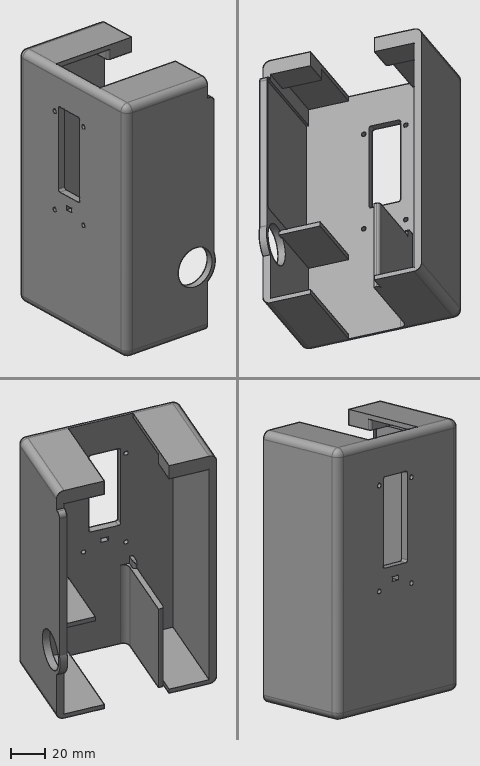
import cadquery as cq

WIDTH = 101.5
HEIGHT = 165.1
BODY_DEPTH = 61.5
TOTAL_DEPTH = 67.4
EDGE_RADIUS = 4.8

WALL = 4.8
END_WALL = 3.0

RIGHT_INSIDE = WIDTH - WALL

NOTCH_WIDTH = 41.0
NOTCH_LEFT = 30.2
NOTCH_RIGHT = NOTCH_LEFT + NOTCH_WIDTH

RIM_DEPTH = 18.0
RIM_HEIGHT = 9.5
RIM_RADIUS = 1.7

TAB_BACK = 66.4
TAB_TOP = 152.4
TAB_RADIUS = 3.1

OPENING_DIAMETER = 25.5
OPENING_Z = 44.5
BULGE_RADIUS = 15.2
OPENING_Y = TOTAL_DEPTH - BULGE_RADIUS

RECESS_BORDER = 1.2
RECESS_BACK = TAB_BACK - RECESS_BORDER
RECESS_TOP = TAB_TOP - RECESS_BORDER
RECESS_BOTTOM = 62.9
RECESS_DEPTH = 1.5
RECESS_RADIUS = TAB_RADIUS - RECESS_BORDER

DISPLAY_X = 48.0
WINDOW_WIDTH = 20.1
WINDOW_HEIGHT = 55.6
WINDOW_Z = 114.0
WINDOW_RADIUS = 1.5
SCREW_DIAMETER = 2.8
SCREW_SPACING_X = 26.9
SCREW_SPACING_Z = 64.4
SCREW_Z = 105.0
SLOT_WIDTH = 4.8
SLOT_HEIGHT = 2.8
SLOT_Z = 78.3

SHELF_TOP = 57.0
SHELF_BACK = 47.2
SHELF_THICKNESS = 3.0

RIB_RIGHT = 33.8
RIB_BACK = 54.0
RIB_RADIUS = 2.0
RIB_FOOT_RADIUS = 4.1

STUB_WIDTH = 2.3
STUB_RADIUS = 2.0
STUB_BACK = 11.4
STUB_HEIGHT = 5.0

OVERLAP = 0.8


def block(x_range, y_range, z_range):
    """Box between the given limits on each axis."""
    limits = (x_range, y_range, z_range)
    sizes = [high - low for low, high in limits]
    corner = tuple(low for low, high in limits)
    return cq.Workplane("XY").box(*sizes, centered=False).translate(corner)


def cover_shell():
    body = block((0, WIDTH), (0, BODY_DEPTH), (0, HEIGHT))
    body = body.edges("not >Y").fillet(EDGE_RADIUS)
    cavity = block((WALL, RIGHT_INSIDE), (WALL, BODY_DEPTH), (END_WALL, HEIGHT - END_WALL))
    return body.cut(cavity)


def back_rim():
    """Blocks under the top wall, each with its front corner at the notch rounded."""
    y_range = (BODY_DEPTH - RIM_DEPTH, BODY_DEPTH)
    z_range = (HEIGHT - RIM_HEIGHT, HEIGHT - END_WALL + OVERLAP)
    left = block((WALL - OVERLAP, NOTCH_LEFT), y_range, z_range)
    right = block((NOTCH_RIGHT, RIGHT_INSIDE + OVERLAP), y_range, z_range)
    left = left.edges("|Z and >X and <Y").fillet(RIM_RADIUS)
    right = right.edges("|Z and <X and <Y").fillet(RIM_RADIUS)
    return left.union(right)


def notch():
    return block((NOTCH_LEFT, NOTCH_RIGHT), (WALL, BODY_DEPTH), (0, HEIGHT))


def side_cylinder(radius):
    """Cylinder through the right wall thickness, centred on the round opening."""
    disc = cq.Workplane("YZ", origin=(RIGHT_INSIDE, OPENING_Y, OPENING_Z))
    return disc.circle(radius).extrude(WALL)


def tab():
    plate = block((RIGHT_INSIDE, WIDTH), (OPENING_Y, TAB_BACK), (OPENING_Z, TAB_TOP))
    plate = plate.edges("|X and >Y and >Z").fillet(TAB_RADIUS)
    return plate.union(side_cylinder(BULGE_RADIUS))


def wall_recess():
    recess = block(
        (RIGHT_INSIDE, RIGHT_INSIDE + RECESS_DEPTH),
        (WALL, RECESS_BACK),
        (RECESS_BOTTOM, RECESS_TOP),
    )
    return recess.edges("|X and >Y").fillet(RECESS_RADIUS)


def front_opening(width, height, z):
    half_width = width / 2
    half_height = height / 2
    x_range = (DISPLAY_X - half_width, DISPLAY_X + half_width)
    return block(x_range, (0, WALL), (z - half_height, z + half_height))


def screw_holes():
    centre = cq.Workplane("XZ", origin=(DISPLAY_X, 0, SCREW_Z))
    pattern = centre.rarray(SCREW_SPACING_X, SCREW_SPACING_Z, 2, 2)
    return pattern.circle(SCREW_DIAMETER / 2).extrude(-WALL)


def shelf():
    return block(
        (NOTCH_RIGHT, RIGHT_INSIDE + OVERLAP),
        (WALL - OVERLAP, SHELF_BACK),
        (SHELF_TOP - SHELF_THICKNESS, SHELF_TOP),
    )


def rib():
    """Upright rib with a rounded back corner, a filleted foot and a stub on top."""
    plate = block((NOTCH_LEFT, RIB_RIGHT), (WALL - OVERLAP, RIB_BACK), (0, SHELF_TOP))
    plate = plate.edges("|Z and <X and >Y").fillet(RIB_RADIUS)
    foot = (
        cq.Workplane("XY")
        .moveTo(RIB_RIGHT, WALL)
        .lineTo(RIB_RIGHT + RIB_FOOT_RADIUS, WALL)
        .radiusArc((RIB_RIGHT, WALL + RIB_FOOT_RADIUS), RIB_FOOT_RADIUS)
        .close()
        .extrude(SHELF_TOP)
    )
    stub = block(
        (NOTCH_LEFT, NOTCH_LEFT + STUB_WIDTH),
        (WALL - OVERLAP, STUB_BACK),
        (SHELF_TOP, SHELF_TOP + STUB_HEIGHT),
    )
    stub = stub.edges("(|Z and >X and >Y) or (|X and >Y and >Z)").fillet(STUB_RADIUS)
    return plate.union(foot).union(stub)


window = front_opening(WINDOW_WIDTH, WINDOW_HEIGHT, WINDOW_Z).edges("|Y").fillet(WINDOW_RADIUS)
slot = front_opening(SLOT_WIDTH, SLOT_HEIGHT, SLOT_Z)

result = cover_shell().union(back_rim()).cut(notch())
result = result.union(tab()).cut(wall_recess())
result = result.cut(side_cylinder(OPENING_DIAMETER / 2))
result = result.cut(window).cut(slot).cut(screw_holes())
result = result.union(shelf()).union(rib())